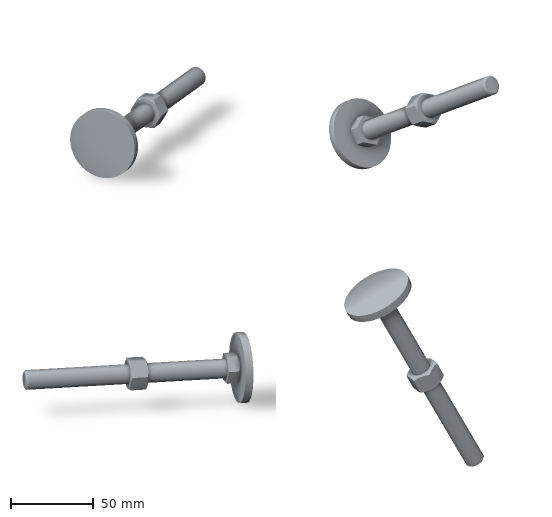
import cadquery as cq
import math

TOTAL_LENGTH = 137.5

PLATE_DIAMETER = 43.0
PLATE_THICKNESS = 5.0

ROD_DIAMETER = 12.0
ROD_END_CHAMFER = 1.0

STUD_HEX_WIDTH = 16.9
STUD_HEX_LENGTH = 7.5

NUT_WIDTH = 18.0
NUT_LENGTH = 11.0
NUT_START = 62.3

STUD_HEX_CHAMFER_ANGLE = 45.0
NUT_CHAMFER_ANGLE = 30.0


def cylinder_along_y(diameter, start, length):
    """Solid cylinder on the Y axis, running towards +Y from start."""
    plane = cq.Workplane("XZ", origin=(0, start, 0))
    return plane.circle(diameter / 2).extrude(-length)


def hexagon_along_y(width, start, length, chamfer_angle, chamfer_far_end):
    """Hexagonal prism with corners on the X axis, its near-end corners turned to a cone."""
    corner_radius = width / 2 / math.cos(math.pi / 6)
    face_radius = width / 2
    chamfer_depth = (corner_radius - face_radius) * math.tan(math.radians(chamfer_angle))
    end = start + length

    plane = cq.Workplane("XZ", origin=(0, start, 0))
    prism = plane.polygon(6, 2 * corner_radius).extrude(-length)

    envelope = (
        cq.Workplane("XY")
        .moveTo(0, start)
        .lineTo(face_radius, start)
        .lineTo(corner_radius, start + chamfer_depth)
    )
    if chamfer_far_end:
        envelope = envelope.lineTo(corner_radius, end - chamfer_depth).lineTo(face_radius, end)
    else:
        envelope = envelope.lineTo(corner_radius, end)
    envelope = envelope.lineTo(0, end).close().revolve(360, (0, 0, 0), (0, 1, 0))
    return prism.intersect(envelope)


def make_plate():
    """Round foot plate."""
    return cylinder_along_y(PLATE_DIAMETER, 0, PLATE_THICKNESS)


def make_stud():
    """Rod with a chamfered free end and a hexagon resting on the plate."""
    rod = cylinder_along_y(ROD_DIAMETER, PLATE_THICKNESS, TOTAL_LENGTH - PLATE_THICKNESS)
    rod = rod.faces(">Y").chamfer(ROD_END_CHAMFER)
    hexagon = hexagon_along_y(
        STUD_HEX_WIDTH, PLATE_THICKNESS, STUD_HEX_LENGTH, STUD_HEX_CHAMFER_ANGLE, chamfer_far_end=False
    )
    return rod.union(hexagon)


def make_lock_nut():
    """Hexagonal nut chamfered at both ends, bored to fit the rod."""
    hexagon = hexagon_along_y(NUT_WIDTH, NUT_START, NUT_LENGTH, NUT_CHAMFER_ANGLE, chamfer_far_end=True)
    bore = cylinder_along_y(ROD_DIAMETER, NUT_START, NUT_LENGTH)
    return hexagon.cut(bore)


plate = make_plate()
stud = make_stud()
lock_nut = make_lock_nut()

result = cq.Compound.makeCompound([plate.val(), stud.val(), lock_nut.val()])